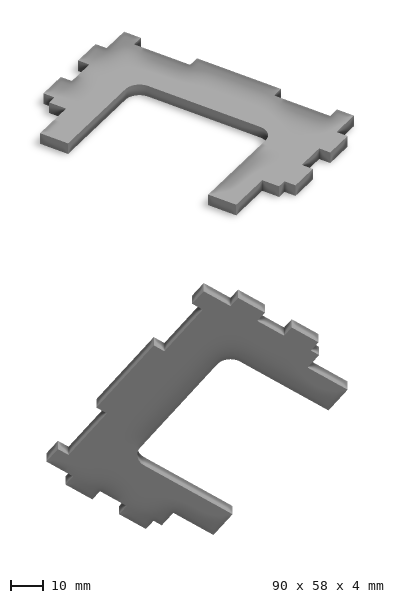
import cadquery as cq

overall_width = 90.0
overall_depth = 58.0
thickness = 4.0

joint_depth = thickness
tab_length = 10.0
tab_spacing = 2 * tab_length
first_tab_start = tab_length

body_width = overall_width - 2 * joint_depth
body_depth = 43.0

leg_width = 10.0
opening_width = 50.0
opening_start = 20.0
corner_radius = 5.0
legs_width = opening_width + 2 * leg_width

back_tab_width = 30.0
notch_width = (legs_width - back_tab_width) / 2
notch_center = (legs_width + back_tab_width) / 4


def block(width, center_x, back, front):
    """Full-thickness block between two distances from the back edge."""
    return (
        cq.Workplane("XY")
        .center(center_x, -(back + front) / 2)
        .rect(width, front - back)
        .extrude(thickness)
    )


plate = block(body_width, 0, 0, body_depth)
plate = plate.union(block(legs_width, 0, 0, overall_depth))

for index in range(2):
    tab_start = first_tab_start + index * tab_spacing
    plate = plate.union(block(overall_width, 0, tab_start, tab_start + tab_length))

for side in (-1, 1):
    plate = plate.cut(block(notch_width, side * notch_center, 0, joint_depth))

opening = block(opening_width, 0, opening_start, overall_depth)
opening = opening.edges("|Z and >Y").fillet(corner_radius)
result = plate.cut(opening)